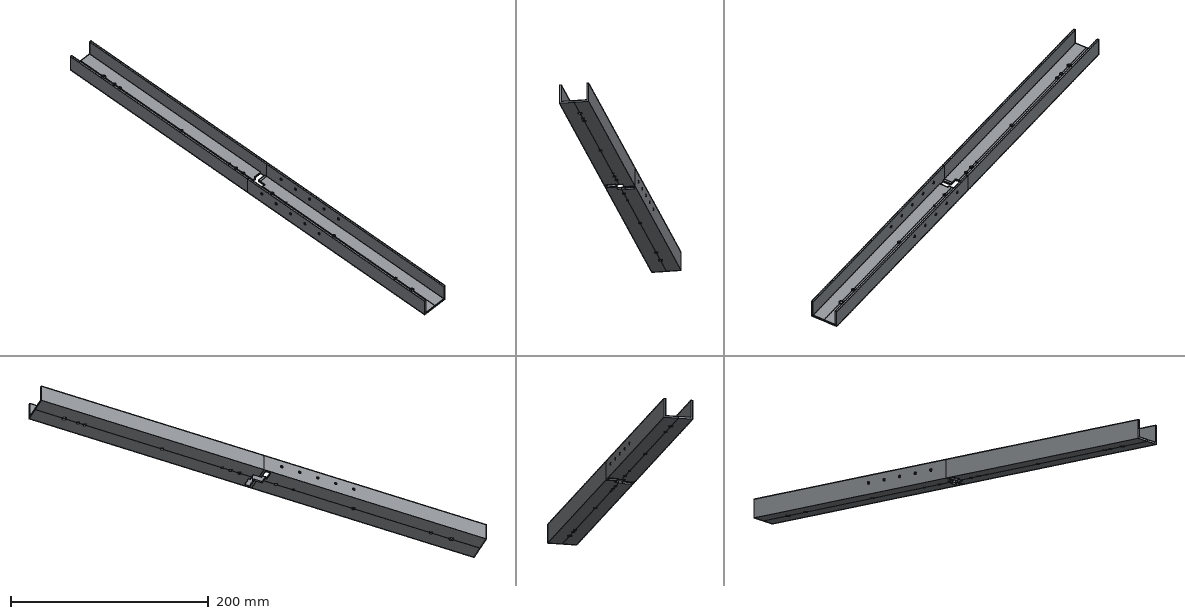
import cadquery as cq

channel_length = 495.0
channel_width = 30.0
channel_height = 20.0
wall_thickness = 2.0
floor_thickness = 2.0

half_length = channel_length / 2
half_width = channel_width / 2
inner_half_width = half_width - wall_thickness

slot_near = 2.5
slot_far = 8.5
window_half_length = 6.5
window_half_width = 3.7

mounting_hole_diameter = 4.5
mounting_hole_distance = 215.5
mounting_hole_places = [-mounting_hole_distance, mounting_hole_distance]

pilot_hole_diameter = 2.0
pilot_hole_distance = 39.5
pilot_hole_places = [-pilot_hole_distance, pilot_hole_distance]

screw_hole_diameter = 3.2
screw_hole_distances = [20.5, 106.5, 192.5]
extra_screw_hole_distances = [30.0, 200.0]
screw_hole_places = [-distance for distance in screw_hole_distances + extra_screw_hole_distances]
screw_hole_places += screw_hole_distances

wall_hole_diameter = 2.5
wall_hole_count = 5
wall_hole_first = 20.0
wall_hole_last = 100.0
wall_hole_height = 12.0
wall_hole_pitch = (wall_hole_last - wall_hole_first) / (wall_hole_count - 1)


def box_between(x_range, y_range, z_range):
    """Box spanning the given ranges; each range may run in either direction."""
    ranges = (x_range, y_range, z_range)
    size = [abs(end - start) for start, end in ranges]
    start = [min(limits) for limits in ranges]
    return cq.Workplane("XY").box(*size, centered=False).translate(tuple(start))


def floor_holes(places, diameter):
    """Upright cylinders on the centre line that cut through the floor."""
    points = [(place, 0) for place in places]
    return cq.Workplane("XY").pushPoints(points).circle(diameter / 2).extrude(floor_thickness)


def wall_holes():
    """Cylinders along Y that cut through both walls."""
    points = [(wall_hole_first + i * wall_hole_pitch, wall_hole_height) for i in range(wall_hole_count)]
    row = cq.Workplane("XZ").pushPoints(points).circle(wall_hole_diameter / 2)
    return row.extrude(half_width, both=True)


def floor_opening():
    """Centre window with one side slot on each side, the same after half a turn about Z."""
    depth = (0, floor_thickness)
    window_length = (-window_half_length, window_half_length)
    opening = box_between(window_length, (-window_half_width, window_half_width), depth)
    for side in (1, -1):
        slot_length = (-side * slot_far, -side * slot_near)
        slot_width = (side * window_half_width, side * inner_half_width)
        opening = opening.union(box_between(slot_length, slot_width, depth))
    return opening


def angle(end, side):
    """Plain L-section on the given end (X sign) and side (Y sign) of the channel."""
    outer = side * half_width
    inner = side * inner_half_width
    profile = [
        (0, 0),
        (outer, 0),
        (outer, channel_height),
        (inner, channel_height),
        (inner, floor_thickness),
        (0, floor_thickness),
    ]
    return cq.Workplane("YZ").polyline(profile).close().extrude(end * half_length)


cutters = [
    floor_opening(),
    floor_holes(mounting_hole_places, mounting_hole_diameter),
    floor_holes(screw_hole_places, screw_hole_diameter),
    floor_holes(pilot_hole_places, pilot_hole_diameter),
    wall_holes(),
]

angles = []
for end in (-1, 1):
    for side in (-1, 1):
        body = angle(end, side)
        for cutter in cutters:
            body = body.cut(cutter)
        angles.append(body.solids().val())

result = cq.Compound.makeCompound(angles)